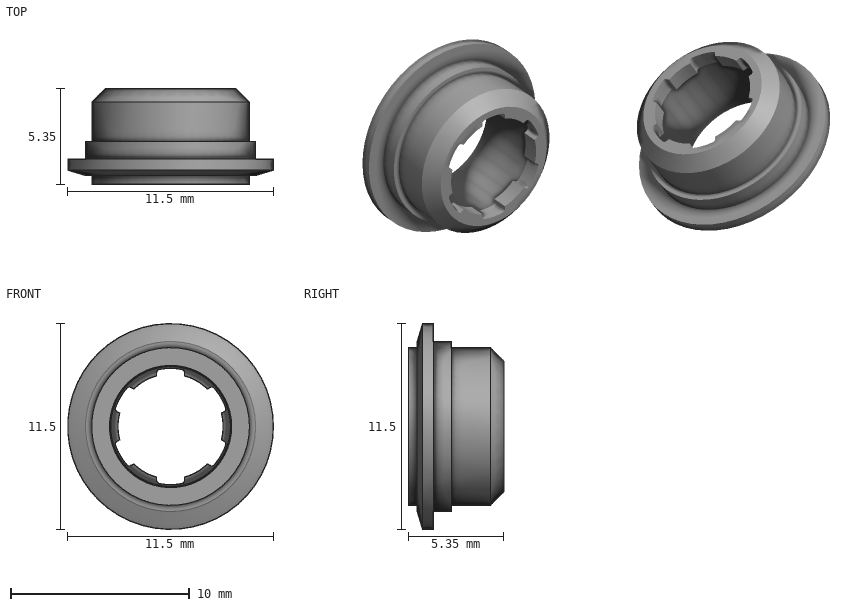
import cadquery as cq

LENGTH = 5.35
NOSE_END = 0.5
FLANGE_RIM_START = 0.79
FLANGE_END = 1.4
SHOULDER_END = 2.4
END_CHAMFER = 0.76

FLANGE_RADIUS = 5.75
SHOULDER_RADIUS = 9.5 / 2
BODY_RADIUS = 4.4

BORE_MOUTH_RADIUS = 3.42
BORE_END_RADIUS = 3.35
WEB_THICKNESS = 1.0
BORE_DEPTH = LENGTH - WEB_THICKNESS

SPLINE_MINOR_RADIUS = 2.93
SPLINE_MAJOR_RADIUS = 3.24
SLOT_COUNT = 6
SLOT_WIDTH = 1.55
SLOT_CORNER_RADIUS = 0.17


def revolve_about_y(points):
    """Revolve a closed (radius, axial position) profile around the Y axis."""
    return cq.Workplane("XY").polyline(points).close().revolve(360, (0, 0, 0), (0, 1, 0))


def outer_body():
    return revolve_about_y([
        (0, 0),
        (BODY_RADIUS, 0),
        (BODY_RADIUS, NOSE_END),
        (SHOULDER_RADIUS, NOSE_END),
        (FLANGE_RADIUS, FLANGE_RIM_START),
        (FLANGE_RADIUS, FLANGE_END),
        (SHOULDER_RADIUS, FLANGE_END),
        (SHOULDER_RADIUS, SHOULDER_END),
        (BODY_RADIUS, SHOULDER_END),
        (BODY_RADIUS, LENGTH - END_CHAMFER),
        (BODY_RADIUS - END_CHAMFER, LENGTH),
        (0, LENGTH),
    ])


def tapered_bore():
    return revolve_about_y([
        (0, 0),
        (BORE_MOUTH_RADIUS, 0),
        (BORE_END_RADIUS, BORE_DEPTH),
        (0, BORE_DEPTH),
    ])


def cylinder_along_y(radius):
    return cq.Workplane("XZ").circle(radius).extrude(-LENGTH)


def splined_opening():
    """Six round-cornered slots around a central hole."""
    opening = cylinder_along_y(SPLINE_MINOR_RADIUS)
    bar = (
        cq.Workplane("XZ")
        .rect(SLOT_WIDTH, 2 * FLANGE_RADIUS)
        .extrude(-LENGTH)
        .intersect(cylinder_along_y(SPLINE_MAJOR_RADIUS))
        .edges("|Y")
        .fillet(SLOT_CORNER_RADIUS)
    )
    for index in range(SLOT_COUNT // 2):
        angle = index * 360 / SLOT_COUNT
        opening = opening.union(bar.rotate((0, 0, 0), (0, 1, 0), angle))
    return opening


result = outer_body().cut(tapered_bore()).cut(splined_opening())